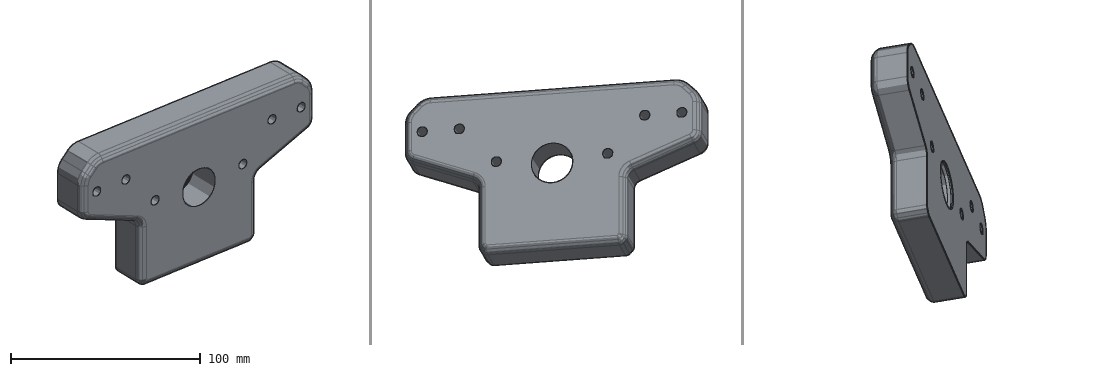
import cadquery as cq

thickness = 21.0
wing_half_width = 79.9
stem_half_width = 40.1
height = 90.6

wing_corner_cut = 9.9
wing_tip_depth = 34.7
wing_root_depth = 50.2
wing_top_radius = 10.4
wing_tip_radius = 6.5
wing_root_radius = 5.0
stem_corner_cut = 3.4
stem_corner_radius = 3.0

back_edge_chamfer = 2.9
back_edge_blend_radius = 2.9
front_edge_chamfer = 0.4

mounting_hole_diameter = 5.5
mounting_hole_chamfer = 0.4
mounting_hole_places = [(70.0, 20.0), (50.0, 20.0), (30.0, 40.0)]

bore_depth_below_top = 43.0
bore_diameter = 22.2
bore_mouth_diameter = 25.2
bore_mouth_depth = 1.3
bore_taper_depth = (bore_mouth_diameter - bore_diameter) / 2
bore_chamfer = 0.5


def fillet_outline_corner(body, y, z, radius):
    """Round the two mirrored outline corners at (+y, z) and (-y, z)."""
    for side in (1, -1):
        corner = cq.selectors.NearestToPointSelector((thickness / 2, side * y, z))
        body = body.edges("|X").edges(corner).fillet(radius)
    return body


def plate():
    half_outline = [
        (0, 0),
        (wing_half_width - wing_corner_cut, 0),
        (wing_half_width, -wing_corner_cut),
        (wing_half_width, -wing_tip_depth),
        (stem_half_width, -wing_root_depth),
        (stem_half_width, stem_corner_cut - height),
        (stem_half_width - stem_corner_cut, -height),
        (0, -height),
    ]
    body = cq.Workplane("YZ").polyline(half_outline).close().extrude(thickness)
    body = body.union(body.mirror("XZ"))
    corners = half_outline[1:-1]
    radii = [
        wing_top_radius,
        wing_top_radius,
        wing_tip_radius,
        wing_root_radius,
        stem_corner_radius,
        stem_corner_radius,
    ]
    for (y, z), radius in zip(corners, radii):
        body = fillet_outline_corner(body, y, z, radius)
    body = body.faces(">X").chamfer(back_edge_chamfer)
    back_rim = body.faces(">X").edges().vals()
    side_rim = body.edges(">>X[-3]").vals()
    body = body.newObject(back_rim + side_rim).fillet(back_edge_blend_radius)
    return body.faces("<X").chamfer(front_edge_chamfer)


def turned_cutter(profile):
    """Revolve a profile of (X, radius) points about the X axis."""
    return cq.Workplane("XY").polyline(profile).close().revolve(360, (0, 0, 0), (1, 0, 0))


def mounting_hole_cutter(y, z):
    """Through hole with a lightly chamfered rim on the front face (X = 0)."""
    radius = mounting_hole_diameter / 2
    profile = [
        (0, 0),
        (0, radius + mounting_hole_chamfer),
        (mounting_hole_chamfer, radius),
        (thickness, radius),
        (thickness, 0),
    ]
    return turned_cutter(profile).translate((0, y, z))


def bore_cutter(z):
    """Through bore entered by a chamfer, a short cylinder and a 45 degree taper."""
    radius = bore_diameter / 2
    mouth_radius = bore_mouth_diameter / 2
    profile = [
        (0, 0),
        (0, mouth_radius + bore_chamfer),
        (bore_chamfer, mouth_radius),
        (bore_mouth_depth, mouth_radius),
        (bore_mouth_depth + bore_taper_depth, radius),
        (thickness, radius),
        (thickness, 0),
    ]
    return turned_cutter(profile).translate((0, 0, z))


result = plate()
for distance, depth_below_top in mounting_hole_places:
    for side in (1, -1):
        result = result.cut(mounting_hole_cutter(side * distance, -depth_below_top))
result = result.cut(bore_cutter(-bore_depth_below_top))